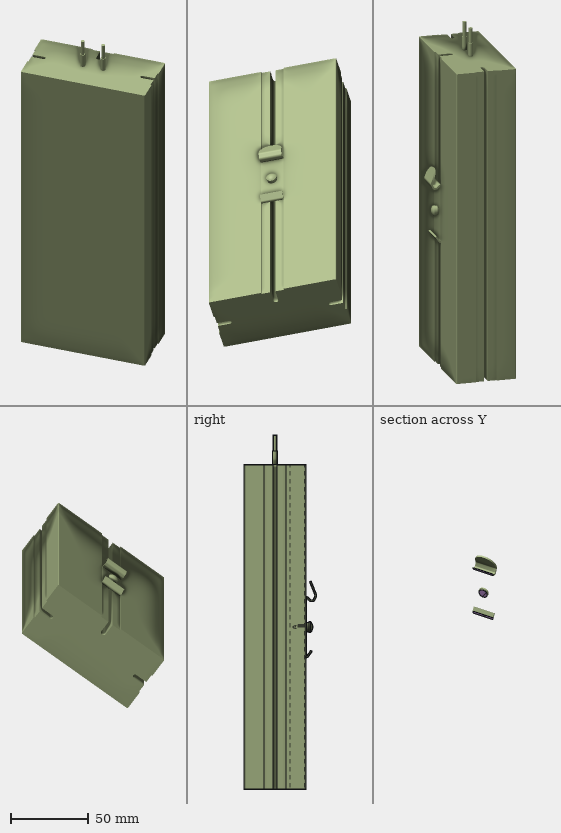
import cadquery as cq
import math

width = 85.0
depth = 40.3
total_height = 229.0
lead_length = 19.0
height = total_height - lead_length
corner_radius = 0.7

side_recess_width = 14.0
side_recess_depth = 0.7
side_slot_width = 2.5
side_slot_reach = 10.0
back_y = depth / 2

clip_width = 14.9
clip_thickness = 1.1
track_depth = 1.0
screw_groove_width = 3.5
screw_groove_depth = 10.3
overlap = 2.3

lead_spacing = 14.0
sleeve_diameter = 3.2
sleeve_length = 9.0
wire_diameter = 2.5

clip_y = back_y - track_depth + clip_thickness / 2
seat_y = back_y - track_depth + clip_thickness
clip_lower_tip = (23.5, 89.5)
clip_upper_tip = (23.0, 134.5)
clip_bends = [
    ((clip_y, 84.3), 0.7),
    ((clip_y, 125.0), 0.7),
    ((23.0, 122.0), 1.0),
    ((25.0, 122.0), 1.1),
    ((26.5, 125.3), 1.4),
]

screw_z = height / 2
collar_diameter = 6.2
collar_height = 1.5
head_diameter = 6.9
head_height = 1.1
dome_height = 1.4
thread_diameter = 3.2
core_diameter = 2.0
thread_pitch = 0.7
thread_turns = 7
plain_length = 1.1
point_length = 1.5
point_diameter = 0.7


def upright_block(x_size, y_min, y_max, x_center=0.0):
    """Block of housing height standing on Z = 0 between two Y values."""
    y_center = (y_min + y_max) / 2
    return (
        cq.Workplane("XY")
        .center(x_center, y_center)
        .rect(x_size, y_max - y_min)
        .extrude(height)
    )


def make_housing():
    """Prism with stepped and slotted narrow sides and a screw groove in its back."""
    body = upright_block(width, -back_y, back_y).edges("|Z").fillet(corner_radius)
    for side in (-1, 1):
        side_x = side * width / 2
        half_step = side_recess_width / 2
        body = body.cut(upright_block(2 * side_recess_depth, -half_step, half_step, side_x))
        slot = cq.Workplane("XY").center(side_x, 0).slot2D(2 * side_slot_reach, side_slot_width)
        body = body.cut(slot.extrude(height))
    track_floor = back_y - track_depth
    body = body.cut(upright_block(clip_width, track_floor, back_y + overlap))
    groove_end_y = back_y - screw_groove_depth + screw_groove_width / 2
    body = body.cut(upright_block(screw_groove_width, groove_end_y, back_y))
    groove_floor = (
        cq.Workplane("XY").center(0, groove_end_y).circle(screw_groove_width / 2).extrude(height)
    )
    return body.cut(groove_floor)


def make_lead(x):
    """Insulating sleeve with the thinner wire standing out of it."""
    sleeve = cq.Workplane("XY", origin=(x, 0, height)).circle(sleeve_diameter / 2).extrude(sleeve_length)
    return sleeve.faces(">Z").workplane().circle(wire_diameter / 2).extrude(lead_length - sleeve_length)


def direction(start, end):
    """Unit vector from one (Y, Z) point to another."""
    length = math.dist(start, end)
    return ((end[0] - start[0]) / length, (end[1] - start[1]) / length)


def along(point, heading, distance):
    """Point reached by moving a distance along a heading."""
    return (point[0] + heading[0] * distance, point[1] + heading[1] * distance)


def clip_centreline():
    """Straight runs joined by tangent arcs at the bends."""
    corners = [clip_lower_tip] + [corner for corner, _ in clip_bends] + [clip_upper_tip]
    path = cq.Workplane("YZ").moveTo(*clip_lower_tip)
    for index, (corner, radius) in enumerate(clip_bends, start=1):
        back = direction(corner, corners[index - 1])
        ahead = direction(corner, corners[index + 1])
        half_angle = math.acos(back[0] * ahead[0] + back[1] * ahead[1]) / 2
        setback = radius / math.tan(half_angle)
        bisector = direction((0, 0), (back[0] + ahead[0], back[1] + ahead[1]))
        middle = along(corner, bisector, radius / math.sin(half_angle) - radius)
        path = path.lineTo(*along(corner, back, setback))
        path = path.threePointArc(middle, along(corner, ahead, setback))
    return path.lineTo(*clip_upper_tip)


def make_clip():
    """Constant-section strip swept along its bent centreline."""
    first_run = direction(clip_lower_tip, clip_bends[0][0])
    section_plane = cq.Plane(
        origin=(0, *clip_lower_tip), xDir=(1, 0, 0), normal=(0, *first_run)
    )
    strip = cq.Workplane(section_plane).rect(clip_width, clip_thickness).sweep(clip_centreline())

    hook_run = direction(clip_bends[-1][0], clip_upper_tip)
    end_radius = clip_width / 2
    end_center = along(clip_upper_tip, hook_run, -end_radius)
    hook_plane = cq.Plane(
        origin=(0, *end_center), xDir=(1, 0, 0), normal=(0, -hook_run[1], hook_run[0])
    )
    end_block = (
        cq.Workplane(hook_plane)
        .center(0, (end_radius + overlap) / 2)
        .rect(clip_width + overlap, end_radius + overlap)
        .extrude(clip_thickness, both=True)
    )
    end_disc = cq.Workplane(hook_plane).circle(end_radius).extrude(clip_thickness, both=True)
    strip = strip.cut(end_block.cut(end_disc))

    screw_hole = (
        cq.Workplane("XZ", origin=(0, seat_y, screw_z))
        .circle(thread_diameter / 2)
        .extrude(clip_thickness)
    )
    return strip.cut(screw_hole)


def make_screw():
    """Turned about the Y axis; profile given as (radius, Y)."""
    shoulder_y = seat_y + collar_height
    head_top_y = shoulder_y + head_height
    dome_top_y = head_top_y + dome_height
    thread_start_y = seat_y - clip_thickness
    thread_end_y = thread_start_y - thread_turns * thread_pitch
    plain_end_y = thread_end_y - plain_length
    point_y = plain_end_y - point_length

    head_radius = head_diameter / 2
    thread_radius = thread_diameter / 2
    core_radius = core_diameter / 2
    dome_radius = (head_radius**2 + dome_height**2) / (2 * dome_height)
    half_dome_angle = math.asin(head_radius / dome_radius) / 2
    dome_middle = (
        dome_radius * math.sin(half_dome_angle),
        dome_top_y - dome_radius * (1 - math.cos(half_dome_angle)),
    )

    profile = (
        cq.Workplane("XY", origin=(0, 0, screw_z))
        .moveTo(0, dome_top_y)
        .threePointArc(dome_middle, (head_radius, head_top_y))
        .lineTo(head_radius, shoulder_y)
        .lineTo(collar_diameter / 2, shoulder_y)
        .lineTo(collar_diameter / 2, seat_y)
        .lineTo(thread_radius, seat_y)
        .lineTo(thread_radius, thread_start_y)
    )
    for turn in range(thread_turns):
        crest_y = thread_start_y - turn * thread_pitch
        profile = profile.lineTo(core_radius, crest_y - thread_pitch / 2)
        if turn < thread_turns - 1:
            profile = profile.lineTo(thread_radius, crest_y - thread_pitch)
    return (
        profile
        .lineTo(core_radius, plain_end_y)
        .lineTo(point_diameter / 2, point_y)
        .lineTo(0, point_y)
        .close()
        .revolve(360, (0, 0, 0), (0, 1, 0))
    )


housing = make_housing()
leads = [make_lead(side * lead_spacing / 2) for side in (-1, 1)]
clip = make_clip()
screw = make_screw()

result = cq.Compound.makeCompound(
    [housing.val(), *[lead.val() for lead in leads], clip.val(), screw.val()]
)